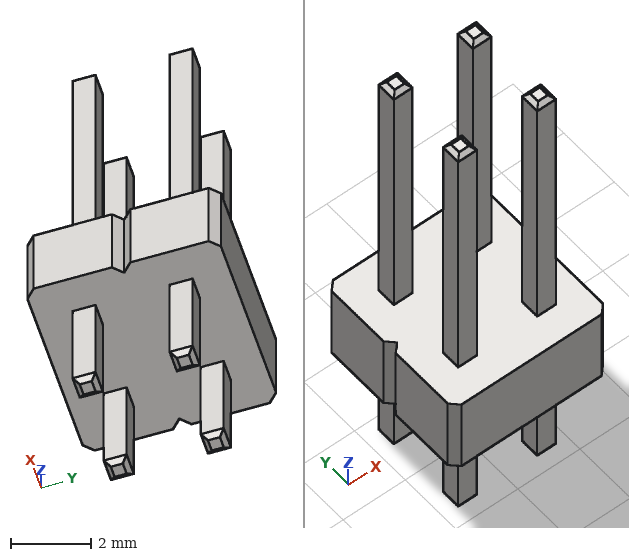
import cadquery as cq

total_height = 14.3
pitch = 2.55
body_x = 5.0
body_y = 5.08
body_height = 2.5
body_bottom = 3.3
corner_cut = 0.25
pin_width = 0.6
tip_chamfer = 0.15


def make_body():
    """Insulator block with chamfered corners and a V notch in each X side."""
    body = (
        cq.Workplane("XY", origin=(0, 0, body_bottom))
        .rect(body_x, body_y)
        .extrude(body_height)
        .edges("|Z")
        .chamfer(corner_cut)
    )
    for side in (-1, 1):
        face_x = side * body_x / 2
        notch = (
            cq.Workplane("XY", origin=(0, 0, body_bottom))
            .moveTo(face_x, -corner_cut)
            .lineTo(face_x - side * corner_cut, 0)
            .lineTo(face_x, corner_cut)
            .close()
            .extrude(body_height)
        )
        body = body.cut(notch)
    return body


def make_pins():
    """Square pins on a two-by-two grid, chamfered at both tips."""
    return (
        cq.Workplane("XY")
        .rarray(pitch, pitch, 2, 2)
        .rect(pin_width, pin_width)
        .extrude(total_height)
        .faces("<Z or >Z")
        .chamfer(tip_chamfer)
    )


result = make_body().union(make_pins())